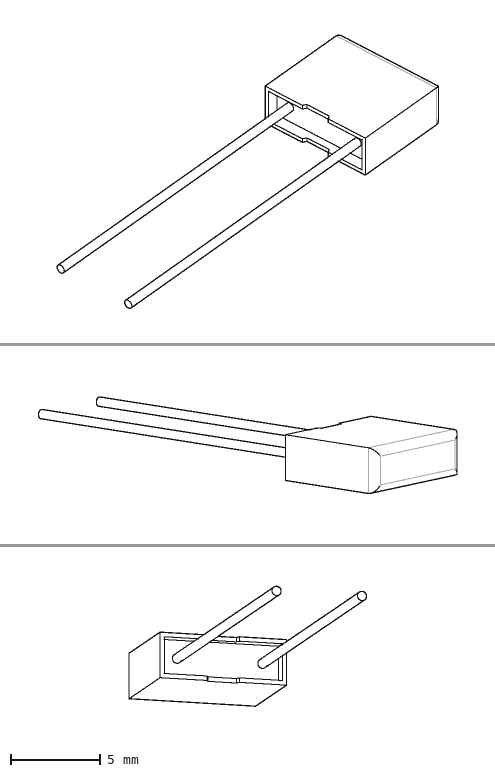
import cadquery as cq

TOTAL_LENGTH = 25.6
CASE_WIDTH = 7.4
CASE_LENGTH = 6.6
CASE_HEIGHT = 2.6
WALL = 0.25
END_FILLET = 0.49

NOTCH_DEPTH = 0.23
NOTCH_RIM_WIDTH = 1.9
NOTCH_FLOOR_WIDTH = 1.65

FILL_RECESS = 0.75
LEAD_DIAMETER = 0.55
LEAD_PITCH = 5.0

CAVITY_WIDTH = CASE_WIDTH - 2 * WALL
CAVITY_HEIGHT = CASE_HEIGHT - 2 * WALL
CAVITY_END = CASE_LENGTH - WALL
FILL_LENGTH = CAVITY_END - FILL_RECESS
LEAD_LENGTH = TOTAL_LENGTH - CASE_LENGTH + FILL_RECESS


def block(width, height, y_start, length):
    """Box centred on X and Z that extends towards +Y from y_start."""
    return cq.Workplane("XY").box(width, length, height, centered=(True, False, True)).translate((0, y_start, 0))


def make_notch_cutter():
    """Tapered prism that passes through both broad walls."""
    outline = [
        (-NOTCH_RIM_WIDTH / 2, 0),
        (-NOTCH_FLOOR_WIDTH / 2, NOTCH_DEPTH),
        (NOTCH_FLOOR_WIDTH / 2, NOTCH_DEPTH),
        (NOTCH_RIM_WIDTH / 2, 0),
    ]
    return cq.Workplane("XY").polyline(outline).close().extrude(CASE_HEIGHT / 2, both=True)


def make_case():
    """Open box with rounded closed-end edges and two rim notches."""
    shell = block(CASE_WIDTH, CASE_HEIGHT, 0, CASE_LENGTH).faces(">Y").edges().fillet(END_FILLET)
    cavity = block(CAVITY_WIDTH, CAVITY_HEIGHT, 0, CAVITY_END)
    return shell.cut(cavity).cut(make_notch_cutter())


def make_fill():
    """Potting block that fills the cavity up to the recessed face."""
    return block(CAVITY_WIDTH, CAVITY_HEIGHT, FILL_RECESS, FILL_LENGTH)


def make_lead(x):
    """Round wire that ends flush against the recessed face of the fill."""
    face = cq.Workplane("XZ", origin=(x, FILL_RECESS, 0))
    return face.circle(LEAD_DIAMETER / 2).extrude(LEAD_LENGTH)


case = make_case()
fill = make_fill()
leads = [make_lead(x) for x in (-LEAD_PITCH / 2, LEAD_PITCH / 2)]

result = cq.Compound.makeCompound([case.val(), fill.val(), *[lead.val() for lead in leads]])